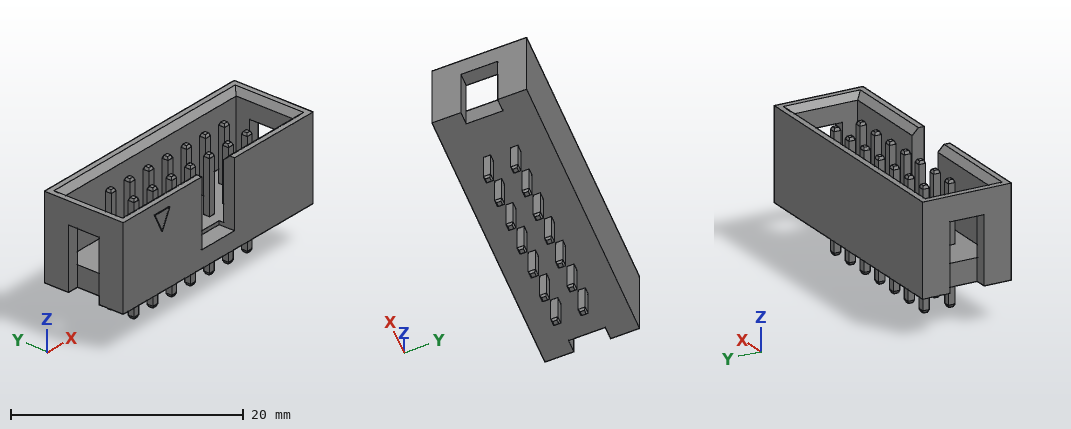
import cadquery as cq

housing_length = 25.58
housing_width = 8.8
housing_height = 9.0
wall = 1.2
rim = 0.6
floor_height = 2.23

notch_width = 4.4
notch_depth = 1.71
notch_bottom = 1.85

window_width = 3.4
window_top = 6.63

mark_size = 2.0
mark_thickness = 0.1
mark_drop = 1.02

pin_columns = 7
pin_rows = 2
pin_row_length = 15.25
pin_pitch = pin_row_length / (pin_columns - 1)
pin_width = 0.67
pin_top = 8.2
pin_bottom = -3.6
tip_length = 0.28
tip_inset = 0.13

front_y = -housing_width / 2
first_pin_x = -pin_row_length / 2


def box_on(length, width, height, x, y, z):
    """Box centred on (x, y) that stands on height z."""
    return cq.Workplane("XY").box(length, width, height, centered=(True, True, False)).translate((x, y, z))


def tapered_tip(z_base, direction):
    """Pin tip that narrows from z_base upwards (+1) or downwards (-1)."""
    end_width = pin_width - 2 * tip_inset
    return (
        cq.Workplane("XY", origin=(0, 0, z_base))
        .rect(pin_width, pin_width)
        .workplane(offset=direction * tip_length)
        .rect(end_width, end_width)
        .loft(combine=True)
    )


def make_housing():
    """Open-topped tray with a sloped lead-in around its mouth."""
    cavity_length = housing_length - 2 * wall
    cavity_width = housing_width - 2 * wall
    lead_in = wall - rim
    tray = box_on(housing_length, housing_width, housing_height, 0, 0, 0)
    cavity = box_on(cavity_length, cavity_width, housing_height - floor_height, 0, 0, floor_height)
    mouth = (
        cq.Workplane("XY", origin=(0, 0, housing_height - lead_in))
        .rect(cavity_length, cavity_width)
        .workplane(offset=lead_in)
        .rect(cavity_length + 2 * lead_in, cavity_width + 2 * lead_in)
        .loft(combine=True)
    )
    return tray.cut(cavity).cut(mouth)


def make_notch():
    height = housing_height - notch_bottom
    return box_on(notch_width, notch_depth, height, 0, front_y + notch_depth / 2, notch_bottom)


def make_window(side):
    """Cutter for the window in the -X (-1) or +X (+1) end wall."""
    x = side * (housing_length - wall) / 2
    return box_on(wall, window_width, window_top, x, 0, 0)


def make_mark():
    """Triangle pointing down, above the first pin."""
    base_z = housing_height - mark_drop
    return (
        cq.Workplane("XZ", origin=(first_pin_x, front_y, base_z))
        .polyline([(-mark_size / 2, 0), (mark_size / 2, 0), (0, -mark_size)])
        .close()
        .extrude(mark_thickness)
    )


def make_pin():
    shank_bottom = pin_bottom + tip_length
    shank_top = pin_top - tip_length
    shank = box_on(pin_width, pin_width, shank_top - shank_bottom, 0, 0, shank_bottom)
    return shank.union(tapered_tip(shank_top, 1)).union(tapered_tip(shank_bottom, -1))


result = make_housing().cut(make_notch())
for end in (-1, 1):
    result = result.cut(make_window(end))
result = result.union(make_mark())

pin = make_pin()
for column in range(pin_columns):
    for row in range(pin_rows):
        pin_x = first_pin_x + column * pin_pitch
        pin_y = (row - (pin_rows - 1) / 2) * pin_pitch
        result = result.union(pin.translate((pin_x, pin_y, 0)))